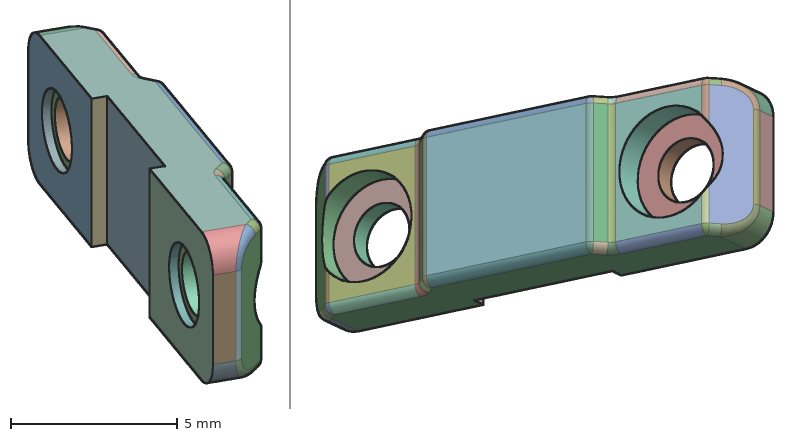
import cadquery as cq

length = 16.0
height = 5.0
corner_radius = 1.0
edge_radius = 0.3

end_thickness = 0.86
shoulder_thickness = 2.0
full_thickness = 2.5

raised_half_width = 3.0
raised_foot = raised_half_width + full_thickness - shoulder_thickness
shoulder_end = length / 2 - (shoulder_thickness - end_thickness)

channel_width = 5.0
channel_depth = 0.5

hole_offset = 5.5
hole_diameter = 2.0
front_recess_diameter = 2.6
front_recess_depth = 0.3
head_recess_diameter = 3.49
head_recess_depth = 1.0
head_seat = shoulder_thickness - head_recess_depth


def plate_body():
    """Stepped plate with rounded corners and a rounded back rim."""
    half_profile = [
        (length / 2, end_thickness),
        (shoulder_end, shoulder_thickness),
        (raised_foot, shoulder_thickness),
        (raised_half_width, full_thickness),
    ]
    mirrored_profile = [(-x, y) for x, y in reversed(half_profile)]
    outline = [(-length / 2, 0), (length / 2, 0)] + half_profile + mirrored_profile
    stepped = (
        cq.Workplane("XY")
        .polyline(outline)
        .close()
        .extrude(height / 2, both=True)
    )
    body = stepped.edges("|Y").fillet(corner_radius)
    back_edges = cq.selectors.BoxSelector(
        (-length, end_thickness / 2, -height),
        (length, full_thickness + edge_radius, height),
    )
    side_seams = cq.selectors.ParallelDirSelector(cq.Vector(0, 1, 0))
    return body.edges(back_edges - side_seams).fillet(edge_radius)


def bore(x, diameter, y_start, depth):
    """Cylinder along +Y used to cut a hole or recess."""
    return cq.Workplane(
        cq.Solid.makeCylinder(diameter / 2, depth, cq.Vector(x, y_start, 0), cq.Vector(0, 1, 0))
    )


result = plate_body()
channel = cq.Workplane("XY").box(channel_width, 2 * channel_depth, height)
result = result.cut(channel)

for hole_x in (-hole_offset, hole_offset):
    result = result.cut(bore(hole_x, hole_diameter, 0, full_thickness))
    result = result.cut(bore(hole_x, front_recess_diameter, 0, front_recess_depth))
    result = result.cut(bore(hole_x, head_recess_diameter, head_seat, full_thickness))